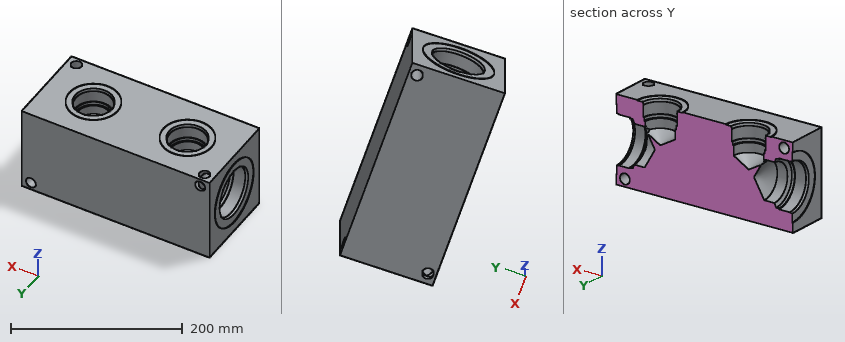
import cadquery as cq
import math

LENGTH = 254.0
WIDTH = 114.3
HEIGHT = 114.3

MOUNT_DIAMETER = 13.49
MOUNT_INSET_X = 12.7
MOUNT_INSET = 10.3

SPOTFACE_DEPTH = 0.8
SEAL_DEPTH = 3.5
SEAL_HALF_ANGLE = 12.0
THREAD_DEPTH = 19.8
TAP_DEPTH = 23.8
TAP_HALF_ANGLE = 66.0
DRILL_HALF_ANGLE = 60.0

END_SPOTFACE_DIAMETER = 88.14
END_SEAL_DIAMETER = 63.96
END_THREAD_DIAMETER = 63.5
END_TAP_DIAMETER = 61.44
END_DRILL_DIAMETER = 50.8
END_DRILL_DEPTH = 40.9

TOP_SPOTFACE_DIAMETER = 65.13
TOP_SEAL_DIAMETER = 48.06
TOP_THREAD_DIAMETER = 47.62
TOP_TAP_DIAMETER = 45.57
TOP_DRILL_DIAMETER = 42.88
TOP_DRILL_DEPTH = 36.9
TOP_PORT_X = (LENGTH / 4, LENGTH * 3 / 4)


def cone_length(half_angle, start_diameter, end_diameter=0.0):
    """Axial length of a cone of the given half angle between two diameters."""
    return (start_diameter - end_diameter) / 2 / math.tan(math.radians(half_angle))


def port_cutter(spotface, seal, thread, tap, drill, drill_depth):
    """Solid of revolution for a port: mouth at Z = 0, drilled toward -Z."""
    seal_floor = SPOTFACE_DEPTH + SEAL_DEPTH
    mouth_radius = seal / 2 + SEAL_DEPTH * math.tan(math.radians(SEAL_HALF_ANGLE))
    profile = [
        (0, 0),
        (spotface / 2, 0),
        (spotface / 2, -SPOTFACE_DEPTH),
        (mouth_radius, -SPOTFACE_DEPTH),
        (seal / 2, -seal_floor),
        (thread / 2, -seal_floor),
        (thread / 2, -THREAD_DEPTH),
        (tap / 2, -THREAD_DEPTH),
        (tap / 2, -TAP_DEPTH),
        (drill / 2, -TAP_DEPTH - cone_length(TAP_HALF_ANGLE, tap, drill)),
        (drill / 2, -drill_depth),
        (0, -drill_depth - cone_length(DRILL_HALF_ANGLE, drill)),
    ]
    return cq.Workplane("XZ").polyline(profile).close().revolve(360, (0, 0), (0, 1))


def end_port():
    """Cutter for the port on the X = 0 face."""
    cutter = port_cutter(
        END_SPOTFACE_DIAMETER,
        END_SEAL_DIAMETER,
        END_THREAD_DIAMETER,
        END_TAP_DIAMETER,
        END_DRILL_DIAMETER,
        END_DRILL_DEPTH,
    )
    along_x = cutter.rotate((0, 0, 0), (0, 1, 0), -90)
    return along_x.translate((0, WIDTH / 2, HEIGHT / 2))


def top_port(x):
    """Cutter for a port on the top face, centred at the given X."""
    cutter = port_cutter(
        TOP_SPOTFACE_DIAMETER,
        TOP_SEAL_DIAMETER,
        TOP_THREAD_DIAMETER,
        TOP_TAP_DIAMETER,
        TOP_DRILL_DIAMETER,
        TOP_DRILL_DEPTH,
    )
    return cutter.translate((x, WIDTH / 2, HEIGHT))


def mounting_holes():
    """Two holes along Z and two along Y."""
    near_x = MOUNT_INSET_X
    far_x = LENGTH - MOUNT_INSET_X
    radius = MOUNT_DIAMETER / 2
    vertical = (
        cq.Workplane("XY")
        .pushPoints([(near_x, WIDTH - MOUNT_INSET), (far_x, MOUNT_INSET)])
        .circle(radius)
        .extrude(HEIGHT)
    )
    horizontal = (
        cq.Workplane("XZ")
        .pushPoints([(near_x, HEIGHT - MOUNT_INSET), (far_x, MOUNT_INSET)])
        .circle(radius)
        .extrude(-WIDTH)
    )
    return vertical.add(horizontal)


block = cq.Workplane("XY").box(LENGTH, WIDTH, HEIGHT, centered=False)
near_end_port = end_port()
far_end_port = near_end_port.mirror("YZ", (LENGTH / 2, 0, 0))
block = block.cut(near_end_port).cut(far_end_port)
for port_x in TOP_PORT_X:
    block = block.cut(top_port(port_x))
for hole in mounting_holes().vals():
    block = block.cut(cq.Workplane(hole))

result = block